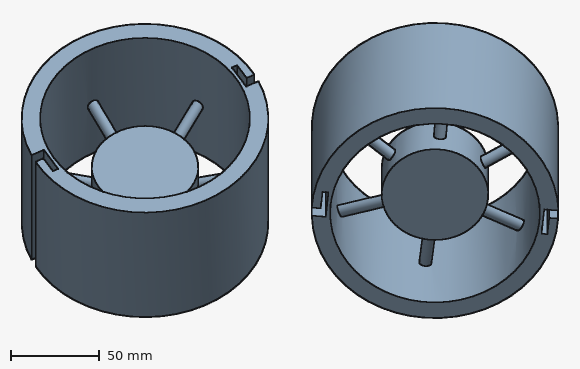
import cadquery as cq
import math

outer_radius = 69.4
inner_radius = 59.0
height = 91.5

hub_radius = 30.0
hub_top = 49.0
spoke_diameter = 7.0
spoke_wall_height = 42.2
spoke_slope = 15.0
spoke_count = 6
first_spoke_angle = 90.0

slot_angles = (60.0, 240.0)
slot_floor_radius = 60.9
slot_width = 3.3
slot_length = 16.1
mouth_width = 5.3
mouth_overrun = 1.4


def spoke_axis_height(radius):
    """Height of the sloping spoke axis at a distance from the ring's axis."""
    return spoke_wall_height - (inner_radius - radius) * math.tan(math.radians(spoke_slope))


def ring():
    return cq.Workplane("XY").circle(outer_radius).circle(inner_radius).extrude(height)


def hub():
    """Solid disc, centred in height on the points where the spokes enter its side."""
    hub_thickness = 2 * (hub_top - spoke_axis_height(hub_radius))
    hub_bottom = hub_top - hub_thickness
    return cq.Workplane("XY").workplane(offset=hub_bottom).circle(hub_radius).extrude(hub_thickness)


def spoke(angle):
    """Round bar from inside the hub to mid-wall, rising outward through the inner wall."""
    direction = cq.Vector(math.cos(math.radians(spoke_slope)), 0, math.sin(math.radians(spoke_slope)))
    start_radius = hub_radius / 2
    end_radius = (inner_radius + outer_radius) / 2
    length = (end_radius - start_radius) / direction.x
    start = cq.Vector(start_radius, 0, spoke_axis_height(start_radius))
    bar = cq.Solid.makeCylinder(spoke_diameter / 2, length, start, direction)
    return cq.Workplane(bar).rotate((0, 0, 0), (0, 0, 1), angle)


def slot_cutter(angle):
    """L-shaped slot: a tangential leg and a mouth open to the outside."""
    near_side = -slot_length / 2
    outside = outer_radius + mouth_overrun
    leg = (
        cq.Workplane("XY")
        .center(slot_floor_radius, near_side)
        .rect(slot_width, slot_length, centered=False)
        .extrude(height)
    )
    mouth = (
        cq.Workplane("XY")
        .center(slot_floor_radius, near_side)
        .rect(outside - slot_floor_radius, mouth_width, centered=False)
        .extrude(height)
    )
    return leg.union(mouth).rotate((0, 0, 0), (0, 0, 1), angle)


result = ring().union(hub())

for index in range(spoke_count):
    result = result.union(spoke(first_spoke_angle + index * 360 / spoke_count))

for slot_angle in slot_angles:
    result = result.cut(slot_cutter(slot_angle))